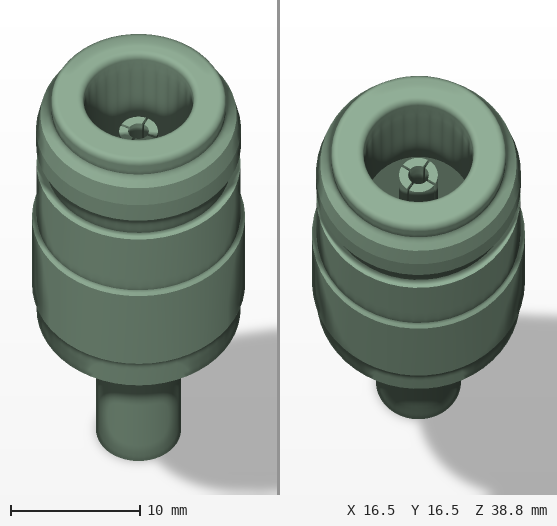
import cadquery as cq

total_length = 38.8
shank_radius = 3.3
shank_length = 13.55

collar_radius = 8.25
body_radius = 7.9
crest_radius = 7.9375
groove_radius = 7.2
shoulder_radius = 7.6
nose_radius = 6.75

nose_depth = 1.5
shoulder_depth = 2.15
crest_top_depth = 3.75
crest_bottom_depth = 5.55
groove_bottom_depth = 7.8
collar_top_depth = 13.7
collar_bottom_depth = 22.2
collar_chamfer_height = 0.3
base_chamfer = 0.45
nose_round = 0.5

mouth_bore_radius = 4.25
bore_floor_radius = 4.15
bore_depth = 9.0
mouth_round = 0.5
contact_radius = 1.5
contact_hole_radius = 0.8
contact_top_depth = 4.05
contact_slot_width = 0.2


def at_depth(depth):
    """Height of a level measured down from the mouth of the socket."""
    return total_length - depth


def make_body():
    """Turned outer shape, revolved about Z."""
    crest_undercut = crest_radius - groove_radius
    profile = (
        cq.Workplane("XZ")
        .moveTo(0, 0)
        .lineTo(shank_radius, 0)
        .lineTo(shank_radius, shank_length)
        .lineTo(body_radius - base_chamfer, shank_length)
        .lineTo(body_radius, shank_length + base_chamfer)
        .lineTo(body_radius, at_depth(collar_bottom_depth))
        .lineTo(collar_radius, at_depth(collar_bottom_depth - collar_chamfer_height))
        .lineTo(collar_radius, at_depth(collar_top_depth + collar_chamfer_height))
        .lineTo(body_radius, at_depth(collar_top_depth))
        .lineTo(body_radius, at_depth(groove_bottom_depth))
        .lineTo(groove_radius, at_depth(groove_bottom_depth))
        .lineTo(groove_radius, at_depth(crest_bottom_depth + crest_undercut))
        .lineTo(crest_radius, at_depth(crest_bottom_depth))
        .lineTo(crest_radius, at_depth(crest_top_depth))
        .lineTo(shoulder_radius, at_depth(shoulder_depth))
        .lineTo(nose_radius, at_depth(nose_depth))
        .lineTo(nose_radius, at_depth(nose_round))
        .radiusArc((nose_radius - nose_round, total_length), -nose_round)
        .lineTo(0, total_length)
        .close()
    )
    return profile.revolve(360, (0, 0, 0), (0, 1, 0))


def make_socket():
    """Tapered bore with a rounded mouth, as a solid to cut away."""
    profile = (
        cq.Workplane("XZ")
        .moveTo(0, at_depth(bore_depth))
        .lineTo(bore_floor_radius, at_depth(bore_depth))
        .lineTo(mouth_bore_radius, at_depth(mouth_round))
        .radiusArc((mouth_bore_radius + mouth_round, total_length), mouth_round)
        .lineTo(0, total_length)
        .close()
    )
    return profile.revolve(360, (0, 0, 0), (0, 1, 0))


def make_contact():
    """Hollow centre contact split into four fingers by crossed slots."""
    height = bore_depth - contact_top_depth
    slot_length = 2 * contact_radius
    bore_floor = cq.Workplane("XY").workplane(offset=at_depth(bore_depth))
    contact = bore_floor.circle(contact_radius).circle(contact_hole_radius).extrude(height)
    slot = bore_floor.rect(slot_length, contact_slot_width).extrude(height)
    for slot_angle in (0, 90):
        contact = contact.cut(slot.rotate((0, 0, 0), (0, 0, 1), slot_angle))
    return contact


result = make_body().cut(make_socket()).union(make_contact())